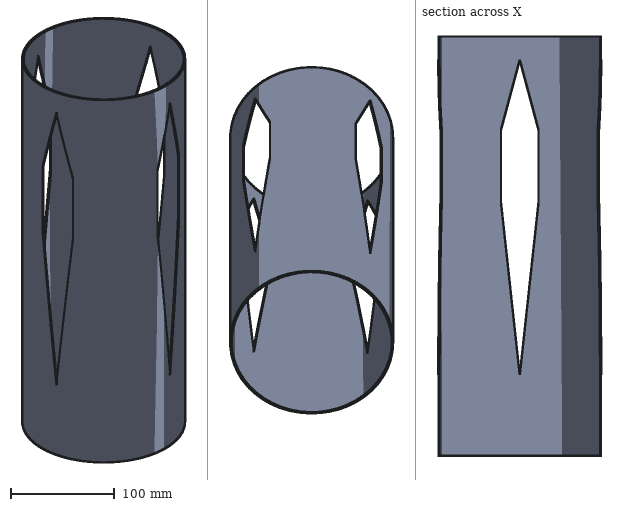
import cadquery as cq

height = 404.0
outer_diameter = 157.0
wall = 1.5

window_width = 36.0
window_top = 381.0
shoulder_top = 314.0
shoulder_bottom = 244.5
window_bottom = 78.8


def window_cutter(plane):
    """Prism of the window outline, passing through both sides of the tube."""
    half_width = window_width / 2
    outline = [
        (0, window_top),
        (half_width, shoulder_top),
        (half_width, shoulder_bottom),
        (0, window_bottom),
        (-half_width, shoulder_bottom),
        (-half_width, shoulder_top),
    ]
    return cq.Workplane(plane).polyline(outline).close().extrude(outer_diameter, both=True)


outer_radius = outer_diameter / 2
tube = cq.Workplane("XY").circle(outer_radius).circle(outer_radius - wall).extrude(height)

result = tube
for plane in ("XZ", "YZ"):
    result = result.cut(window_cutter(plane))